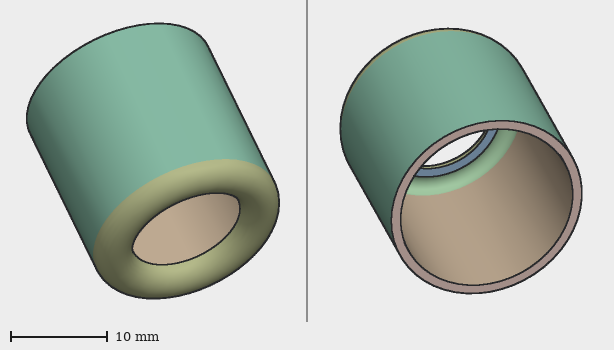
import cadquery as cq

length = 21.0
outer_diameter = 20.5
bore_diameter = 18.5
lip_outer_diameter = 14.1
lip_hole_diameter = 12.1

outer_radius = outer_diameter / 2
bore_radius = bore_diameter / 2
lip_outer_radius = lip_outer_diameter / 2
lip_hole_radius = lip_hole_diameter / 2

roll_outer_radius = (outer_radius - lip_hole_radius) / 2
roll_inner_radius = (bore_radius - lip_outer_radius) / 2
roll_center_radius = (outer_radius + lip_hole_radius) / 2
roll_start = length - roll_outer_radius

wall_section = (
    cq.Workplane("XY")
    .moveTo(0, bore_radius)
    .lineTo(0, outer_radius)
    .lineTo(roll_start, outer_radius)
    .threePointArc((length, roll_center_radius), (roll_start, lip_hole_radius))
    .lineTo(roll_start, lip_outer_radius)
    .threePointArc((roll_start + roll_inner_radius, roll_center_radius), (roll_start, bore_radius))
    .close()
)

result = wall_section.revolve(360, (0, 0, 0), (1, 0, 0))